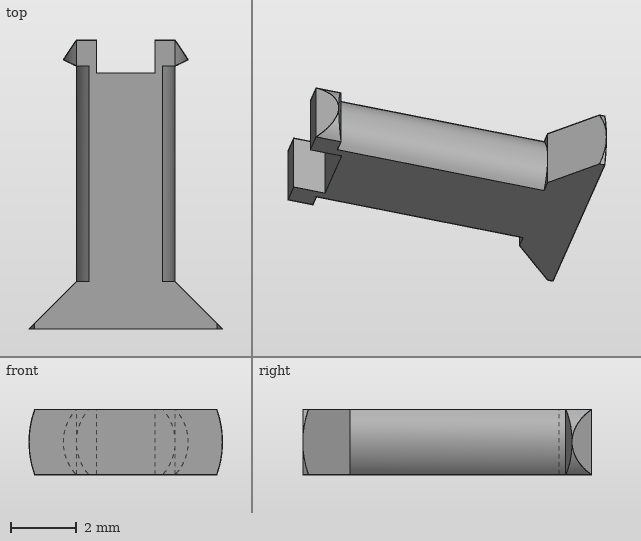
import cadquery as cq

length = 8.8
thickness = 2.0
half_thickness = thickness / 2

head_radius = 2.95

shank_radius = 1.505
head_height = head_radius - shank_radius

slot_width = 1.78
slot_depth = 0.99
barb_length = 0.79
barb_tip_setback = 0.6
barb_half_span = 1.9
barb_start = length - barb_length


def bar_along_y(radius, start, end):
    """Round bar on the Y axis between two Y positions."""
    bar = cq.Workplane("XZ").circle(radius).extrude(-(end - start))
    return bar.translate((0, start, 0))


def plate(outline):
    """Closed XY outline extruded to the full thickness, centred on Z = 0."""
    profile = cq.Workplane("XY").polyline(outline).close()
    return profile.extrude(half_thickness, both=True)


def make_head():
    wedge = plate([
        (-head_radius, 0),
        (head_radius, 0),
        (shank_radius, head_height),
        (-shank_radius, head_height),
    ])
    return wedge.intersect(bar_along_y(head_radius, 0, head_height))


def make_shank():
    flat_stock = cq.Workplane("XY").box(2 * shank_radius, length, thickness)
    flat_stock = flat_stock.translate((0, length / 2, 0))
    return flat_stock.intersect(bar_along_y(shank_radius, head_height, barb_start))


def make_tip():
    barbed_plate = plate([
        (-shank_radius, barb_start),
        (shank_radius, barb_start),
        (barb_half_span, length - barb_tip_setback),
        (shank_radius, length),
        (-shank_radius, length),
        (-barb_half_span, length - barb_tip_setback),
    ])
    bowed_envelope = (
        cq.Workplane("XZ")
        .moveTo(-shank_radius, -half_thickness)
        .lineTo(shank_radius, -half_thickness)
        .threePointArc((barb_half_span, 0), (shank_radius, half_thickness))
        .lineTo(-shank_radius, half_thickness)
        .threePointArc((-barb_half_span, 0), (-shank_radius, -half_thickness))
        .close()
        .extrude(-length)
    )
    return barbed_plate.intersect(bowed_envelope)


def make_slot():
    slot = cq.Workplane("XY").box(slot_width, slot_depth, thickness)
    return slot.translate((0, length - slot_depth / 2, 0))


result = make_head().union(make_shank()).union(make_tip()).cut(make_slot())